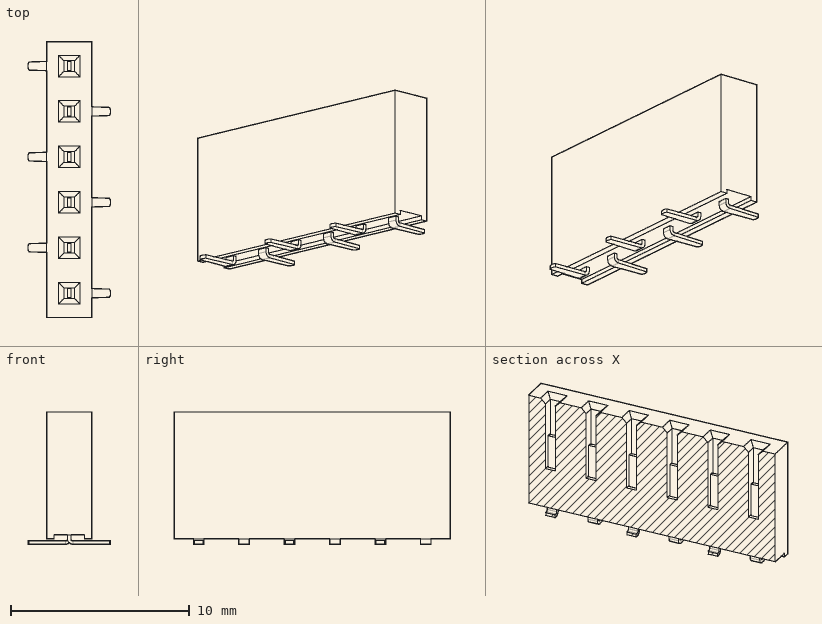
import cadquery as cq
import math

pin_count = 6
pitch = 2.54
end_margin = 1.37
body_width = 2.54
body_length = (pin_count - 1) * pitch + 2 * end_margin
body_top = 7.4
body_bottom = 0.3

foot_width = 0.42
channel_height = 0.23

mouth_size = 1.2
socket_size = 0.6
funnel_depth = (mouth_size - socket_size) / 2
socket_floor = 3.0

lead_thickness = 0.2
inner_bend_radius = 0.1
outer_bend_radius = inner_bend_radius + lead_thickness
lead_span = 4.64
lead_reach = lead_span / 2
root_width = 0.6
tip_width = 0.47
tip_bulge = 0.07
contact_width = 0.5
contact_height = 2.0


def make_housing():
    """Plain block with a channel along its underside."""
    block = cq.Workplane("XY").workplane(offset=body_bottom).rect(body_width, body_length)
    block = block.extrude(body_top - body_bottom)
    channel = cq.Workplane("XY").workplane(offset=body_bottom)
    channel = channel.rect(body_width - 2 * foot_width, body_length).extrude(channel_height)
    return block.cut(channel)


def make_socket(y):
    """Tapered mouth and straight square shaft, as a cutting solid."""
    shaft = (
        cq.Workplane("XY", origin=(0, y, socket_floor))
        .rect(socket_size, socket_size)
        .extrude(body_top - socket_floor)
    )
    funnel = (
        cq.Workplane("XY", origin=(0, y, body_top))
        .rect(mouth_size, mouth_size)
        .workplane(offset=-funnel_depth)
        .rect(socket_size, socket_size)
        .loft(ruled=True)
    )
    return shaft.union(funnel)


def make_lead(y, side):
    """Stem bent into a tapered foot, with a contact in the socket; side is +1 for +X, -1 for -X."""
    half = lead_thickness / 2
    bend_x = half + inner_bend_radius
    bend_z = outer_bend_radius
    diagonal = math.sqrt(0.5)
    inner_mid = (bend_x - inner_bend_radius * diagonal, bend_z - inner_bend_radius * diagonal)
    outer_mid = (bend_x - outer_bend_radius * diagonal, bend_z - outer_bend_radius * diagonal)
    strip = (
        cq.Workplane("XZ")
        .moveTo(half, socket_floor)
        .lineTo(half, bend_z)
        .threePointArc(inner_mid, (bend_x, lead_thickness))
        .lineTo(lead_reach, lead_thickness)
        .lineTo(lead_reach, 0)
        .lineTo(bend_x, 0)
        .threePointArc(outer_mid, (-half, bend_z))
        .lineTo(-half, socket_floor)
        .close()
        .extrude(root_width / 2, both=True)
    )
    plan = (
        cq.Workplane("XY")
        .moveTo(-half, -root_width / 2)
        .lineTo(bend_x, -root_width / 2)
        .lineTo(lead_reach - tip_bulge, -tip_width / 2)
        .threePointArc((lead_reach, 0), (lead_reach - tip_bulge, tip_width / 2))
        .lineTo(bend_x, root_width / 2)
        .lineTo(-half, root_width / 2)
        .close()
        .extrude(socket_floor)
    )
    contact = cq.Workplane("XY", origin=(0, 0, socket_floor)).box(
        lead_thickness, contact_width, contact_height, centered=(True, True, False)
    )
    lead = strip.intersect(plan).union(contact)
    if side < 0:
        lead = lead.mirror("YZ")
    return lead.translate((0, y, 0))


result = make_housing()
for index in range(pin_count):
    pin_y = (index - (pin_count - 1) / 2) * pitch
    lead_side = 1 if index % 2 == 0 else -1
    result = result.cut(make_socket(pin_y))
    result = result.union(make_lead(pin_y, lead_side))